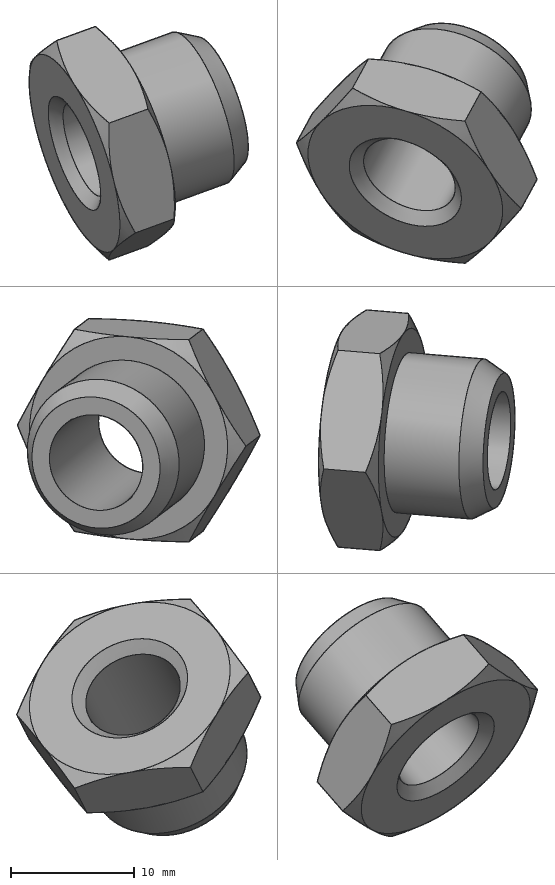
import cadquery as cq
import math

across_flats = 17.0
across_corners = across_flats / math.cos(math.radians(30))
head_length = 5.0
head_chamfer_angle = 30.0
corner_clearance = 0.2

total_length = 13.0
shank_diameter = 13.04
tip_diameter = 11.0
tip_chamfer_angle = 30.0

bore_diameter = 8.0
countersink_diameter = 9.8
countersink_half_angle = 45.0


def revolve_about_y(profile_points):
    """Revolve a closed (radius, y) profile fully around the Y axis."""
    return cq.Workplane("XY").polyline(profile_points).close().revolve(360, (0, 0, 0), (0, 1, 0))


def make_head():
    """Hexagonal prism with both ends chamfered by cones that touch the flats."""
    prism = cq.Workplane("XZ").polygon(6, across_corners).extrude(-head_length)
    flat_radius = across_flats / 2
    envelope_radius = across_corners / 2 + corner_clearance
    chamfer_length = (envelope_radius - flat_radius) * math.tan(math.radians(head_chamfer_angle))
    envelope = revolve_about_y([
        (0, 0),
        (flat_radius, 0),
        (envelope_radius, chamfer_length),
        (envelope_radius, head_length - chamfer_length),
        (flat_radius, head_length),
        (0, head_length),
    ])
    return prism.intersect(envelope)


def make_shank():
    """Cylinder behind the head with a long chamfer at its tip."""
    shank_radius = shank_diameter / 2
    tip_radius = tip_diameter / 2
    chamfer_length = (shank_radius - tip_radius) / math.tan(math.radians(tip_chamfer_angle))
    return revolve_about_y([
        (0, 0),
        (tip_radius, 0),
        (tip_radius, head_length),
        (shank_radius, head_length),
        (shank_radius, total_length - chamfer_length),
        (tip_radius, total_length),
        (0, total_length),
    ])


def make_bore():
    """Through bore, widened by a conical countersink at the head face."""
    bore_radius = bore_diameter / 2
    mouth_radius = countersink_diameter / 2
    countersink_depth = (mouth_radius - bore_radius) / math.tan(math.radians(countersink_half_angle))
    return revolve_about_y([
        (0, 0),
        (mouth_radius, 0),
        (bore_radius, countersink_depth),
        (bore_radius, total_length),
        (0, total_length),
    ])


result = make_head().union(make_shank()).cut(make_bore())